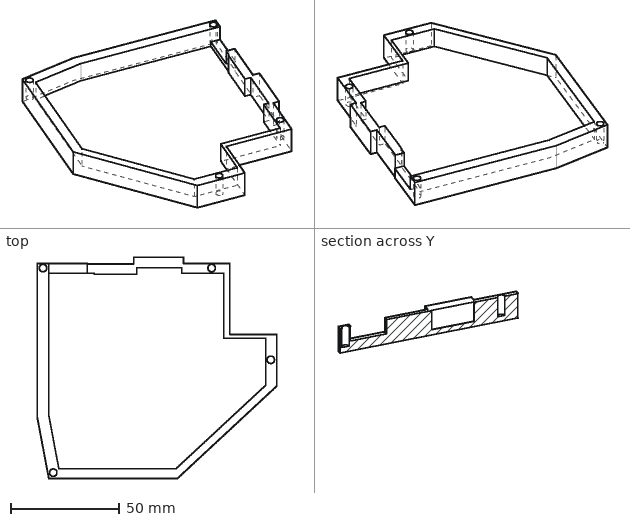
import cadquery as cq

length = 110.6
width = 102.3
height = 13.0
floor_thickness = 3.0

back_y = 99.4
recessed_back_y = 99.1
taper_start_y = 28.1
front_left_x = 5.3
front_right_x = 64.7
slant_end_y = 42.7
step_x = 88.9
step_y = 66.6
bump_left_x = 44.5
bump_right_x = 67.6

pocket_left_x = 5.3
pocket_right_x = 105.6
pocket_front_y = 4.6
pocket_back_y = 94.8
pocket_taper_start_y = 29.4
pocket_front_left_x = 10.0
pocket_front_right_x = 64.2
pocket_slant_end_y = 43.2
pocket_step_x = 86.2
pocket_step_y = 64.9
rib_left_x = 26.3
rib_y = 94.5
bay_left_x = 45.9
bay_right_x = 66.8
bay_back_y = 97.3

gap_right_x = 23.1
sill_height = 5.5

hole_diameter = 3.4
hole_depth = height - floor_thickness
hole_centers = [(2.7, 97.2), (80.5, 97.2), (107.8, 54.9), (7.4, 2.8)]

outer_outline = [
    (front_left_x, 0),
    (front_right_x, 0),
    (length, slant_end_y),
    (length, step_y),
    (step_x, step_y),
    (step_x, back_y),
    (bump_right_x, back_y),
    (bump_right_x, width),
    (bump_left_x, width),
    (bump_left_x, recessed_back_y),
    (gap_right_x, recessed_back_y),
    (gap_right_x, back_y),
    (0, back_y),
    (0, taper_start_y),
]

pocket_outline = [
    (pocket_front_left_x, pocket_front_y),
    (pocket_front_right_x, pocket_front_y),
    (pocket_right_x, pocket_slant_end_y),
    (pocket_right_x, pocket_step_y),
    (pocket_step_x, pocket_step_y),
    (pocket_step_x, pocket_back_y),
    (bay_right_x, pocket_back_y),
    (bay_right_x, bay_back_y),
    (bay_left_x, bay_back_y),
    (bay_left_x, rib_y),
    (rib_left_x, rib_y),
    (rib_left_x, pocket_back_y),
    (pocket_left_x, pocket_back_y),
    (pocket_left_x, pocket_taper_start_y),
]


def prism(outline, bottom, top):
    """Upright prism over a closed polygon, between two heights."""
    return cq.Workplane("XY").workplane(offset=bottom).polyline(outline).close().extrude(top - bottom)


tray = prism(outer_outline, 0, height).cut(prism(pocket_outline, floor_thickness, height))

gap_outline = [
    (pocket_left_x, pocket_back_y),
    (gap_right_x, pocket_back_y),
    (gap_right_x, back_y),
    (pocket_left_x, back_y),
]
tray = tray.cut(prism(gap_outline, sill_height, height))

holes = (
    cq.Workplane("XY")
    .workplane(offset=height - hole_depth)
    .pushPoints(hole_centers)
    .circle(hole_diameter / 2)
    .extrude(hole_depth)
)
result = tray.cut(holes)